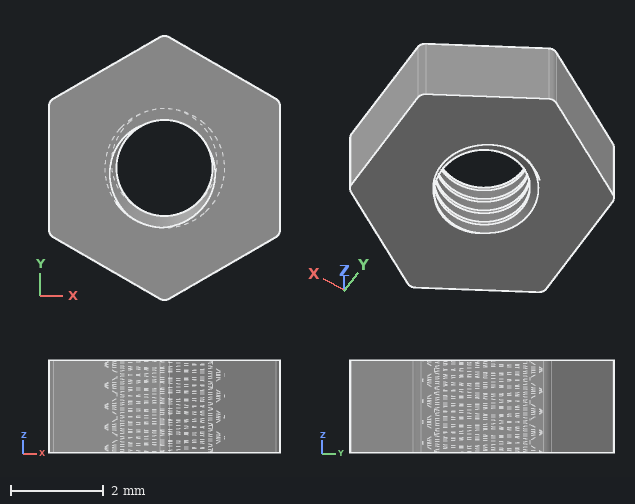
import cadquery as cq
import math

length = 5.71
height = 2.0
corner_radius = 0.2

minor_diameter = 2.07
major_diameter = 2.58
pitch = 0.45
crest_width = 0.115
flank_half_angle = 30.0
groove_direction_at_top = 250.0
bore_overlap = 0.035


def hexagon_body():
    """Hexagonal prism with two flats facing +X and -X and rounded upright corners."""
    tip_trim = corner_radius * (1 / math.cos(math.radians(30)) - 1)
    across_corners = length + 2 * tip_trim
    return (
        cq.Workplane("XY")
        .polygon(6, across_corners)
        .extrude(height)
        .rotate((0, 0, 0), (0, 0, 1), 30)
        .edges("|Z")
        .fillet(corner_radius)
    )


def thread_groove():
    """Helical trapezoidal cutter that runs out past both faces of the body."""
    inner_radius = minor_diameter / 2 - bore_overlap
    outer_radius = major_diameter / 2
    flank_slope = math.tan(math.radians(flank_half_angle))
    mouth_half = (pitch - crest_width) / 2 + bore_overlap * flank_slope
    root_half = mouth_half - (outer_radius - inner_radius) * flank_slope

    turns = math.ceil(height / pitch) + 2
    path = cq.Wire.makeHelix(pitch, turns * pitch, minor_diameter / 2)
    groove = (
        cq.Workplane("XZ")
        .polyline(
            [
                (inner_radius, -mouth_half),
                (outer_radius, -root_half),
                (outer_radius, root_half),
                (inner_radius, mouth_half),
            ]
        )
        .close()
        .sweep(cq.Workplane(path), isFrenet=True)
    )
    return groove.translate((0, 0, height + pitch - turns * pitch)).rotate(
        (0, 0, 0), (0, 0, 1), groove_direction_at_top
    )


bore = cq.Workplane("XY").circle(minor_diameter / 2).extrude(height)
result = hexagon_body().cut(thread_groove()).cut(bore)